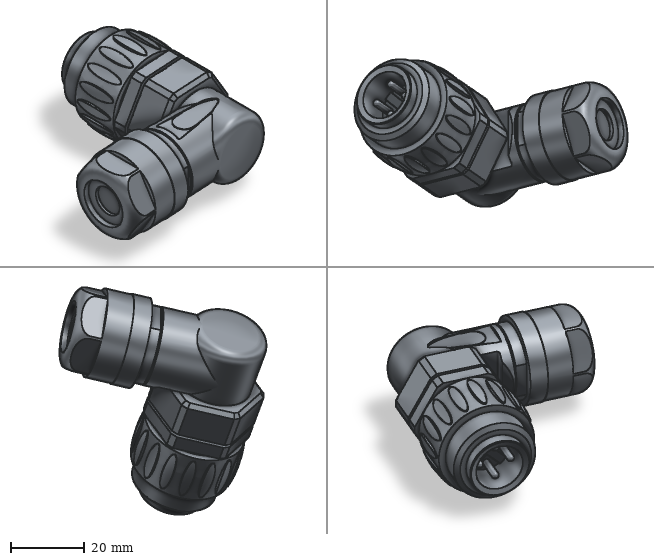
import cadquery as cq
import math


nose_radius = 17.5 / 2
nose_chamfer = 0.25
collar_start = 3.3
collar_radius = 24 / 2
collar_chamfer_length = 0.95
collar_chamfer_height = 1.55
ring_start = 10.3
ring_seam = 18.5
ring_end = 24.8
ring_front_radius = 14.03
ring_rear_radius = 14.23
shank_radius = 24.7 / 2

mouth_radius = nose_radius - nose_chamfer
bore_radius = 13.7 / 2
mouth_depth = 0.5
insert_depth = 10.2
quadrant_depth = 0.5
cross_arm_width = 2.5
cross_core_half = 2.0
pin_count = 4
pin_circle_radius = 4.55
pin_radius = 2.05 / 2
pin_tip_depth = 2.9
pin_embedding = 0.5
key_radius = 1.0
key_start = 6.3

rib_count = 16
rib_center = 17.6
rib_length = 12.4
rib_width = 3.1
rib_crest_radius = 15.0
rib_end_radius = 14.4

plug_hex_flats = 27.0
plug_hex_corner_cut = 15.0
front_nut_start = 26.0
front_nut_end = 30.0
rear_nut_start = 30.9
rear_nut_end = 41.5
rear_nut_chamfer = 1.2

elbow_start = 41.8
elbow_radius = 22.1 / 2
leg_axis_x = 48.35
elbow_end = leg_axis_x + elbow_radius
elbow_fillet = 3.0
elbow_neck_radius = 21 / 2
leg_end = -19.07
relief_edge_y = -15.9
relief_slope_start_x = 39.5
relief_slope_run = 2.5
relief_slope_drop = 2.9
relief_fillet = 0.8

label_floor_z = 10.2
label_panel_z = 10.4
label_base_y = -17.4
label_base_half = 4.4
label_shoulder_y = -2.8
label_shoulder_half = 2.7
label_tip_y = 2.5
label_tip_half = 0.7
label_tip_rise = 0.3
label_flank_bulge = 0.25
panel_base_y = -14.2
panel_side_y = -10.6
panel_half = 3.35

neck_start = -19.5
neck_radius = 22 / 2
neck_flats = 19.55
band_start = -22.75
band_radius = 25.4 / 2
sleeve_start = -27.95
sleeve_radius = 25.0 / 2
gland_hex_start = -35.4
gland_end = -43.0
gland_hex_flats = 22.0
gland_face_radius = 16.3 / 2
gland_round = sleeve_radius - gland_face_radius
inlet_radius = 14.5 / 2
inlet_depth = 1.7
cable_radius = 9 / 2
cable_depth = 1.0


def rod_x(x0, x1, radius):
    """Cylinder along X on the plug axis."""
    return cq.Workplane("YZ", origin=(x0, 0, 0)).circle(radius).extrude(x1 - x0)


def rod_y(y0, y1, radius):
    """Cylinder along Y on the leg axis, running from y0 down to y1."""
    return cq.Workplane("XZ", origin=(leg_axis_x, y0, 0)).circle(radius).extrude(y0 - y1)


def turned_x(profile):
    """Revolve a closed XY wire about the plug axis."""
    return profile.close().revolve(360, (0, 0, 0), (1, 0, 0))


def plug_shell():
    """Nose, collar, tapered coupling ring and shank as one turned body."""
    return turned_x(
        cq.Workplane("XY")
        .moveTo(0, 0)
        .lineTo(0, mouth_radius)
        .lineTo(nose_chamfer, nose_radius)
        .lineTo(collar_start, nose_radius)
        .lineTo(collar_start, collar_radius - collar_chamfer_height)
        .lineTo(collar_start + collar_chamfer_length, collar_radius)
        .lineTo(ring_start, collar_radius)
        .lineTo(ring_start, ring_front_radius)
        .lineTo(ring_seam, ring_rear_radius)
        .lineTo(ring_end, ring_rear_radius)
        .lineTo(ring_end, shank_radius)
        .lineTo(rear_nut_start, shank_radius)
        .lineTo(rear_nut_start, 0)
    )


def grip_ribs():
    """Elliptical pads around the coupling ring, all trimmed to one crowned envelope."""
    half = rib_length / 2
    envelope = turned_x(
        cq.Workplane("XY")
        .moveTo(rib_center - half, 0)
        .lineTo(rib_center - half, rib_end_radius)
        .threePointArc((rib_center, rib_crest_radius), (rib_center + half, rib_end_radius))
        .lineTo(rib_center + half, 0)
    )
    pad = cq.Workplane("XY").center(rib_center, 0).ellipse(half, rib_width / 2).extrude(rib_crest_radius)
    pad = pad.intersect(envelope).cut(rod_x(0, ring_end, collar_radius))
    ribs = pad
    for i in range(1, rib_count):
        ribs = ribs.union(pad.rotate((0, 0, 0), (1, 0, 0), i * 360 / rib_count))
    return ribs


def socket_cavity():
    """Bore with a flared mouth and a shallow recessed quadrant around every pin."""
    cavity = turned_x(
        cq.Workplane("XY")
        .moveTo(0, 0)
        .lineTo(0, mouth_radius)
        .lineTo(mouth_depth, bore_radius)
        .lineTo(insert_depth, bore_radius)
        .lineTo(insert_depth, 0)
    )
    offset = cross_arm_width / math.sqrt(2)
    quadrant = (
        cq.Workplane("YZ", origin=(insert_depth, 0, 0))
        .moveTo(cross_core_half - offset, cross_core_half)
        .lineTo(bore_radius - offset, bore_radius)
        .lineTo(offset - bore_radius, bore_radius)
        .lineTo(offset - cross_core_half, cross_core_half)
        .close()
        .extrude(quadrant_depth)
        .intersect(rod_x(insert_depth, insert_depth + quadrant_depth, bore_radius))
    )
    for i in range(pin_count):
        cavity = cavity.union(quadrant.rotate((0, 0, 0), (1, 0, 0), i * 360 / pin_count))
    return cavity


def contact_pins():
    """Round-tipped pins standing on the insert floor."""
    root = insert_depth + quadrant_depth
    pin = rod_x(pin_tip_depth + pin_radius, root + pin_embedding, pin_radius)
    pin = pin.union(cq.Workplane("XY").sphere(pin_radius).translate((pin_tip_depth + pin_radius, 0, 0)))
    pin = pin.translate((0, 0, pin_circle_radius))
    pins = pin
    for i in range(1, pin_count):
        pins = pins.union(pin.rotate((0, 0, 0), (1, 0, 0), i * 360 / pin_count))
    return pins


def polarising_key():
    """Half-round key rib along the bore wall, between two pins."""
    reach = bore_radius * math.sqrt(0.5)
    key = rod_x(key_start, insert_depth + quadrant_depth, key_radius).translate((0, -reach, reach))
    return key.intersect(rod_x(0, ring_start, (bore_radius + nose_radius) / 2))


def hex_corner_diameter(flats):
    """Distance across the corners of a hexagon, from its distance across the flats."""
    return flats / math.cos(math.pi / 6)


def plug_nut(x0, x1, end_chamfer=0.0):
    """Hexagon along X with corners on the Y axis, corners trimmed by a second hexagon."""
    nut = (
        cq.Workplane("YZ", origin=(x0, 0, 0))
        .polygon(6, hex_corner_diameter(plug_hex_flats))
        .extrude(x1 - x0)
    )
    trim = (
        cq.Workplane("YZ", origin=(x0, 0, 0))
        .polygon(6, hex_corner_diameter(2 * plug_hex_corner_cut))
        .extrude(x1 - x0)
        .rotate((0, 0, 0), (1, 0, 0), 30)
    )
    nut = nut.intersect(trim)
    if end_chamfer:
        nut = nut.faces(">X").edges().chamfer(end_chamfer)
    return nut


def elbow():
    """Barrel on the plug axis with a leg along -Y, relieved beside the rear nut."""
    barrel = rod_x(elbow_start, elbow_end, elbow_radius).faces(">X").edges().fillet(elbow_fillet)
    leg = rod_y(0, leg_end, elbow_radius)
    relief = (
        cq.Workplane("XY")
        .moveTo(leg_axis_x - 2 * elbow_radius, elbow_radius)
        .lineTo(elbow_start, elbow_radius)
        .lineTo(elbow_start, relief_edge_y + relief_fillet)
        .radiusArc((elbow_start - relief_fillet, relief_edge_y), relief_fillet)
        .lineTo(relief_slope_start_x, relief_edge_y)
        .lineTo(relief_slope_start_x - relief_slope_run, relief_edge_y - relief_slope_drop)
        .lineTo(leg_axis_x - 2 * elbow_radius, relief_edge_y - relief_slope_drop)
        .close()
        .extrude(elbow_radius, both=True)
    )
    neck = rod_x(rear_nut_end, elbow_start, elbow_neck_radius)
    return barrel.union(leg.cut(relief)).union(neck)


def label_recess():
    """Shield-shaped pocket with a slightly raised rounded panel inside it."""
    tip_arc_y = label_tip_y - label_tip_rise
    flank_x = (label_shoulder_half + label_tip_half) / 2 + label_flank_bulge
    flank_y = (label_shoulder_y + tip_arc_y) / 2
    shield = (
        cq.Workplane("XY", origin=(leg_axis_x, 0, label_floor_z))
        .moveTo(-label_base_half, label_base_y)
        .lineTo(-label_shoulder_half, label_shoulder_y)
        .threePointArc((-flank_x, flank_y), (-label_tip_half, tip_arc_y))
        .threePointArc((0, label_tip_y), (label_tip_half, tip_arc_y))
        .threePointArc((flank_x, flank_y), (label_shoulder_half, label_shoulder_y))
        .lineTo(label_base_half, label_base_y)
        .close()
        .extrude(elbow_radius - label_floor_z)
    )
    panel = (
        cq.Workplane("XY", origin=(leg_axis_x, 0, label_floor_z))
        .moveTo(-panel_half, panel_side_y)
        .threePointArc((0, panel_base_y), (panel_half, panel_side_y))
        .lineTo(panel_half, label_tip_y)
        .lineTo(-panel_half, label_tip_y)
        .close()
        .extrude(label_panel_z - label_floor_z)
    )
    return shield.cut(panel)


def gland_nut():
    """Hexagon with flats facing +Z and -Z, trimmed by the sleeve and rounded at the free end."""
    length = gland_hex_start - gland_end
    hexagon = (
        cq.Workplane("XZ", origin=(leg_axis_x, gland_hex_start, 0))
        .polygon(6, hex_corner_diameter(gland_hex_flats))
        .extrude(length)
    )
    arc_inset = gland_round * math.sqrt(0.5)
    arc_start_y = gland_end + gland_round
    envelope = (
        cq.Workplane("XY")
        .moveTo(leg_axis_x, gland_hex_start)
        .lineTo(leg_axis_x + sleeve_radius, gland_hex_start)
        .lineTo(leg_axis_x + sleeve_radius, arc_start_y)
        .threePointArc(
            (leg_axis_x + gland_face_radius + arc_inset, arc_start_y - arc_inset),
            (leg_axis_x + gland_face_radius, gland_end),
        )
        .lineTo(leg_axis_x, gland_end)
        .close()
        .revolve(360, (leg_axis_x, 0, 0), (leg_axis_x, 1, 0))
    )
    return hexagon.intersect(envelope)


def gland():
    """Flatted neck, clamping band, sleeve and gland nut."""
    groove = rod_y(leg_end, neck_start, elbow_neck_radius)
    neck = rod_y(neck_start, band_start, neck_radius)
    flats = (
        cq.Workplane("XZ", origin=(leg_axis_x, neck_start, 0))
        .rect(neck_flats, 2 * neck_radius)
        .extrude(neck_start - band_start)
    )
    neck = neck.intersect(flats)
    band = rod_y(band_start, sleeve_start, band_radius)
    sleeve = rod_y(sleeve_start, gland_hex_start, sleeve_radius)
    return groove.union(neck).union(band).union(sleeve).union(gland_nut())


def cable_inlet():
    """Plain bore with a shallow cable seat in its floor."""
    floor_y = gland_end + inlet_depth
    bore = rod_y(floor_y, gland_end, inlet_radius)
    return bore.union(rod_y(floor_y + cable_depth, floor_y, cable_radius))


plug = plug_shell().union(grip_ribs()).cut(socket_cavity())
plug = plug.union(contact_pins()).union(polarising_key())
nuts = plug_nut(front_nut_start, front_nut_end).union(
    plug_nut(rear_nut_start, rear_nut_end, rear_nut_chamfer)
)
housing = elbow().cut(label_recess())
outlet = gland().cut(cable_inlet())

result = plug.union(nuts).union(housing).union(outlet)